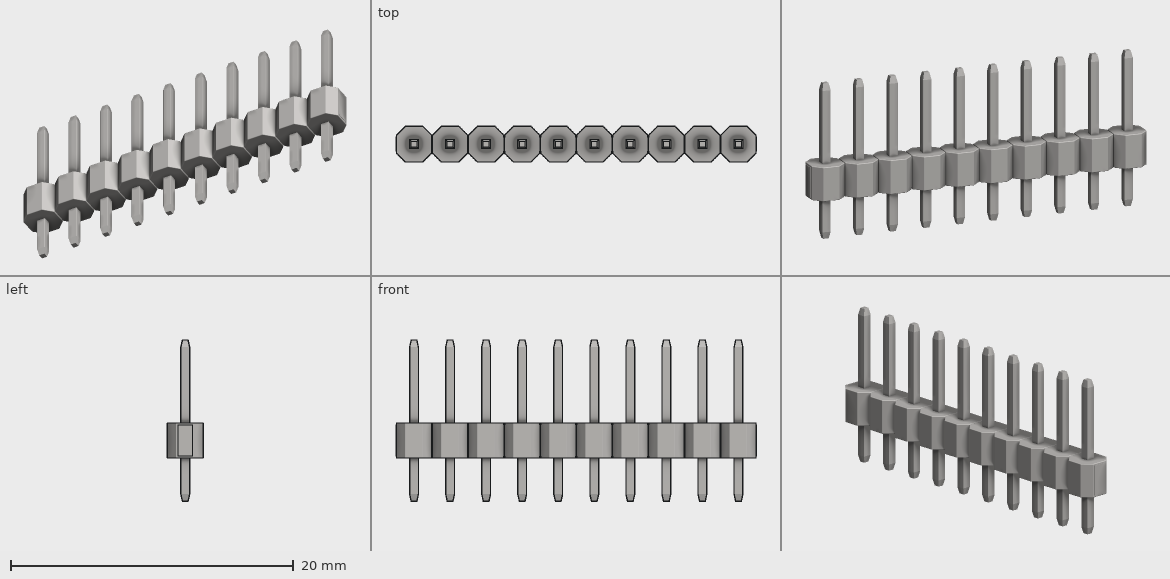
import cadquery as cq

position_count = 10
pitch = 2.55

block_depth = 2.55
block_height = 2.5
corner_chamfer = 0.64
block_edge_radius = 0.05

pad_thickness = 0.03
pad_width = 1.0
pad_height = 2.2
block_length = pitch - 2 * pad_thickness

total_height = 11.38
tail_length = 3.05
pin_width = 0.64
pin_edge_radius = 0.03
tip_width = 0.4
tip_height = 0.5

pin_bottom = -tail_length
pin_top = pin_bottom + total_height
lower_shoulder = pin_bottom + tip_height
upper_shoulder = pin_top - tip_height


def make_block():
    """Octagonal block with all its edges lightly rounded."""
    return (
        cq.Workplane("XY")
        .rect(block_length, block_depth)
        .extrude(block_height)
        .edges("|Z")
        .chamfer(corner_chamfer)
        .edges()
        .fillet(block_edge_radius)
    )


def make_pads():
    """Bar through the block whose two ends stand out as the contact pads."""
    return cq.Workplane("XY", origin=(0, 0, block_height / 2)).box(pitch, pad_width, pad_height)


def make_tip(shoulder, end):
    """Tip narrowing from the pin section at the shoulder to the small end face."""
    return (
        cq.Workplane("XY", origin=(0, 0, shoulder))
        .rect(pin_width, pin_width)
        .workplane(offset=end - shoulder)
        .rect(tip_width, tip_width)
        .loft()
    )


def make_pin():
    """Square shaft with a tip at each end, its four long edges rounded."""
    shaft = (
        cq.Workplane("XY", origin=(0, 0, lower_shoulder))
        .rect(pin_width, pin_width)
        .extrude(upper_shoulder - lower_shoulder)
    )
    sharp_pin = (
        shaft
        .union(make_tip(lower_shoulder, pin_bottom))
        .union(make_tip(upper_shoulder, pin_top))
    )
    rounded_bar = (
        cq.Workplane("XY", origin=(0, 0, pin_bottom))
        .rect(pin_width, pin_width)
        .extrude(total_height)
        .edges("|Z")
        .fillet(pin_edge_radius)
    )
    return sharp_pin.intersect(rounded_bar)


def make_position(x):
    """One header position: block, pads and pin as a single solid centred at x."""
    position = make_block().union(make_pads()).union(make_pin())
    return position.translate((x, 0, 0)).solids()


first_x = -pitch * (position_count - 1) / 2
positions = [make_position(first_x + index * pitch) for index in range(position_count)]

result = cq.Compound.makeCompound([position.val() for position in positions])